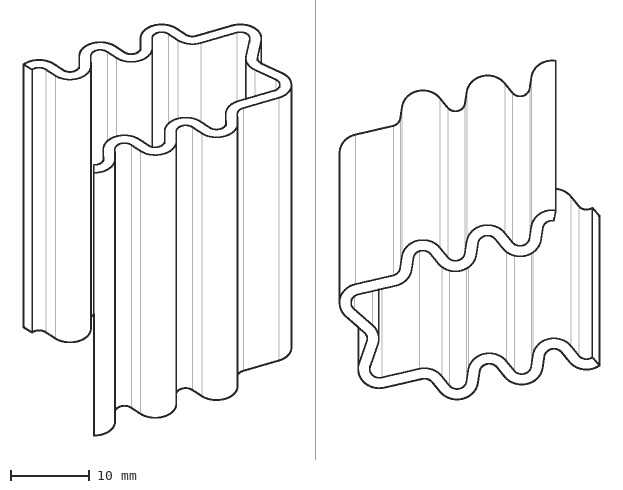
import cadquery as cq
import math

length = 45.0
thickness = 1.5
half_width = 11.498
depth = 30.0

inner_radius = 1.2
outer_radius = inner_radius + thickness
mean_radius = (inner_radius + outer_radius) / 2

wall_outer_x = 7.5
dip_depth = 3.8
shoulder_drop = 7.65
half_pitch = 4.252
wave_bends = 6
back_y = depth / 2
tip_y = -depth / 2

corner_x = wall_outer_x - outer_radius
crest_x = wall_outer_x - thickness + outer_radius
trough_x = half_width - outer_radius

bends = [
    (0, back_y - dip_depth + outer_radius, 1),
    (corner_x, back_y - outer_radius, -1),
]
for i in range(wave_bends):
    bend_y = back_y - shoulder_drop - i * half_pitch
    if i % 2 == 0:
        bends.append((crest_x, bend_y, 1))
    else:
        bends.append((trough_x, bend_y, -1))


def tangent_heading(start, end):
    """Travel direction of the straight joining two bends of opposite turn."""
    dx = end[0] - start[0]
    dy = end[1] - start[1]
    swing = math.asin(2 * mean_radius / math.hypot(dx, dy))
    return math.atan2(dy, dx) + start[2] * swing


def face_point(bend, heading, offset):
    """Point on a bend at a heading, offset to the left of the middle line."""
    x, y, turn = bend
    reach = offset - turn * mean_radius
    return (x - reach * math.sin(heading), y + reach * math.cos(heading))


tip_heading = -math.pi / 2 - math.asin((bends[-1][1] - tip_y) / outer_radius)
headings = [0]
for start, end in zip(bends, bends[1:]):
    headings.append(tangent_heading(start, end))
headings.append(tip_heading)


def face_arcs(offset):
    """Start, middle and end points of every bend along one face."""
    arcs = []
    for bend, enter, leave in zip(bends, headings, headings[1:]):
        stops = (enter, (enter + leave) / 2, leave)
        arcs.append([face_point(bend, heading, offset) for heading in stops])
    return arcs


outer_face = face_arcs(thickness / 2)
inner_face = face_arcs(-thickness / 2)
return_face = [arc[::-1] for arc in inner_face[::-1]]

profile = cq.Workplane("XY").moveTo(*outer_face[0][0])
for i, (start, middle, end) in enumerate(outer_face + return_face):
    if i > 0:
        profile = profile.lineTo(*start)
    profile = profile.threePointArc(middle, end)
right_half = profile.close().extrude(length)

result = right_half.union(right_half.mirror("YZ")).clean()